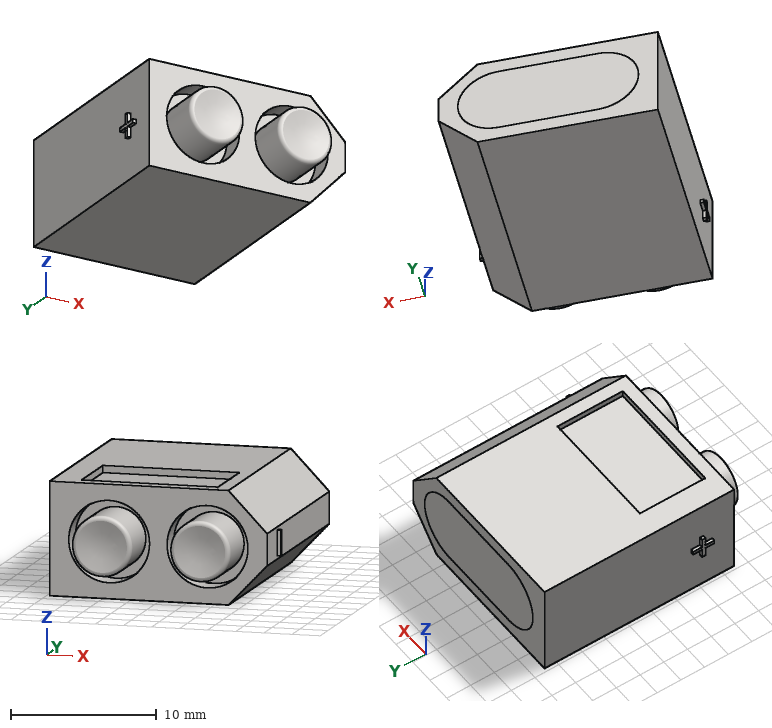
import cadquery as cq
import math

OVERALL_LENGTH = 17.99
HOUSING_WIDTH = 15.49
HOUSING_LENGTH = 16.0
HOUSING_HEIGHT = 8.0
NOSE_DEPTH = 2.75
NOSE_FLAT = 2.25

PIN_SPACING = 7.0
PIN_RADIUS = 2.12
PIN_PROTRUSION = OVERALL_LENGTH - HOUSING_LENGTH
PIN_EDGE_RADIUS = 0.3
DISH_RADIUS = PIN_RADIUS - PIN_EDGE_RADIUS
DISH_DEPTH = 0.27
BORE_RADIUS = 2.88
BORE_DEPTH = 1.75

POCKET_WIDTH = 9.71
POCKET_LENGTH = 5.5
POCKET_DEPTH = 0.5
POCKET_SIDE_MARGIN = 2.0
POCKET_FRONT_MARGIN = 1.0

MARK_HEIGHT = 0.25
MARK_LENGTH = 1.8
MARK_STROKE = 0.29
MARK_SETBACK = 2.73

HALF_WIDTH = HOUSING_WIDTH / 2
HALF_HEIGHT = HOUSING_HEIGHT / 2
PIN_CENTRES = [(-PIN_SPACING / 2, 0), (PIN_SPACING / 2, 0)]
CORE_LENGTH = HOUSING_LENGTH - BORE_DEPTH


def front_plane(y):
    """Plane at the given Y, facing -Y, with local x along X and local y along Z."""
    return cq.Workplane("XZ", origin=(0, y, 0))


def make_block():
    """Rectangular block with two bevels that narrow its +X side to a flat nose."""
    bevel_start = HALF_WIDTH - NOSE_DEPTH
    outline = [
        (-HALF_WIDTH, -HALF_HEIGHT),
        (bevel_start, -HALF_HEIGHT),
        (HALF_WIDTH, -NOSE_FLAT / 2),
        (HALF_WIDTH, NOSE_FLAT / 2),
        (bevel_start, HALF_HEIGHT),
        (-HALF_WIDTH, HALF_HEIGHT),
    ]
    return front_plane(HOUSING_LENGTH).polyline(outline).close().extrude(HOUSING_LENGTH)


def make_bores():
    """Clearance bores that open in the front face around the pins."""
    return front_plane(BORE_DEPTH).pushPoints(PIN_CENTRES).circle(BORE_RADIUS).extrude(BORE_DEPTH)


def make_pocket():
    """Shallow rectangular recess in the top face."""
    corner = (POCKET_SIDE_MARGIN - HALF_WIDTH, POCKET_FRONT_MARGIN, HALF_HEIGHT - POCKET_DEPTH)
    return cq.Workplane("XY", origin=corner).box(
        POCKET_WIDTH, POCKET_LENGTH, POCKET_DEPTH, centered=False
    )


def make_mark_bar(side_x, length_y, length_z):
    """Bar centred on a side face, so that half of its thickness stands proud."""
    bar = cq.Workplane("XY").box(2 * MARK_HEIGHT, length_y, length_z)
    return bar.translate((side_x, MARK_SETBACK, 0))


def make_core():
    """Obround core, concentric with the bores, from the bore floors to the rear face."""
    core = front_plane(HOUSING_LENGTH).slot2D(PIN_SPACING + 2 * BORE_RADIUS, 2 * BORE_RADIUS)
    return core.extrude(CORE_LENGTH)


def make_pin():
    """Pin revolved about the Y axis, with a rounded front edge and a shallow dish in its end."""
    tip = -PIN_PROTRUSION
    sphere_radius = (DISH_RADIUS**2 + DISH_DEPTH**2) / (2 * DISH_DEPTH)
    dish_bottom = (0, tip + DISH_DEPTH)
    dish_half_angle = math.asin(DISH_RADIUS / sphere_radius) / 2
    dish_middle = (
        sphere_radius * math.sin(dish_half_angle),
        tip + DISH_DEPTH - sphere_radius * (1 - math.cos(dish_half_angle)),
    )
    edge_offset = PIN_EDGE_RADIUS * (1 - math.cos(math.radians(45)))
    profile = (
        cq.Workplane("XY")
        .moveTo(0, BORE_DEPTH)
        .lineTo(PIN_RADIUS, BORE_DEPTH)
        .lineTo(PIN_RADIUS, tip + PIN_EDGE_RADIUS)
        .threePointArc((PIN_RADIUS - edge_offset, tip + edge_offset), (DISH_RADIUS, tip))
        .threePointArc(dish_middle, dish_bottom)
        .close()
    )
    return profile.revolve(360, (0, 0, 0), (0, 1, 0))


def make_housing():
    """Block with bores, label pocket and marks, hollowed to hold the contact core."""
    housing = make_block().cut(make_bores()).cut(make_pocket()).cut(make_core())
    housing = housing.union(make_mark_bar(-HALF_WIDTH, MARK_LENGTH, MARK_STROKE))
    housing = housing.union(make_mark_bar(-HALF_WIDTH, MARK_STROKE, MARK_LENGTH))
    return housing.union(make_mark_bar(HALF_WIDTH, MARK_STROKE, MARK_LENGTH))


def make_contacts():
    """One body: the core whose front face is the floor of both bores, and the two pins."""
    contacts = make_core()
    for x, z in PIN_CENTRES:
        contacts = contacts.union(make_pin().translate((x, 0, z)))
    return contacts


housing = make_housing()
contacts = make_contacts()

result = cq.Compound.makeCompound([housing.solids().val(), contacts.solids().val()])